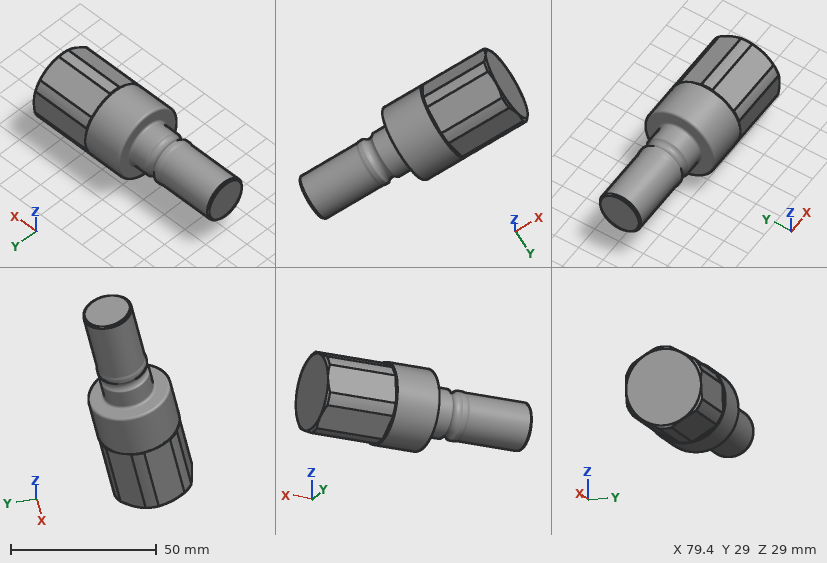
import cadquery as cq
import math

length = 79.4
body_start = 37.4
body_end = 53.8

plug_radius = 17.0 / 2
collar_radius = 17.5 / 2
plug_tip_chamfer = 0.55
cone_start = 23.5
cone_end = 24.45
groove_center = 28.0
groove_half_width = 2.0
groove_floor_radius = 7.7
groove_lip_fillet = 0.4
root_fillet = 0.95

body_radius = 29.0 / 2
body_front_fillet = 0.95
body_back_chamfer = 0.3

grip_sides = 6
grip_across_flats = 27.0
grip_corner_radius = 14.45
grip_tilt = 1.4
grip_end_radius = 26.8 / 2
grip_end_chamfer_length = 0.7


def make_plug():
    """Turned plug with a stepped collar and a round-bottomed groove."""
    profile = (
        cq.Workplane("XY")
        .lineTo(0, plug_radius - plug_tip_chamfer)
        .lineTo(plug_tip_chamfer, plug_radius)
        .lineTo(cone_start, plug_radius)
        .lineTo(cone_end, collar_radius)
        .lineTo(groove_center - groove_half_width, collar_radius)
        .threePointArc(
            (groove_center, groove_floor_radius),
            (groove_center + groove_half_width, collar_radius),
        )
        .lineTo(body_start, collar_radius)
        .lineTo(body_start, 0)
        .close()
    )
    plug = profile.revolve(360, (0, 0, 0), (1, 0, 0))
    groove_lips = plug.edges(
        cq.selectors.BoxSelector(
            (groove_center - groove_half_width - groove_lip_fillet, -body_radius, -body_radius),
            (groove_center + groove_half_width + groove_lip_fillet, body_radius, body_radius),
        )
    ).edges("%CIRCLE")
    return groove_lips.fillet(groove_lip_fillet)


def make_body():
    """Round body with a flared root where the plug enters it."""
    body = cq.Workplane("YZ", origin=(body_start, 0, 0)).circle(body_radius).extrude(body_end - body_start)
    body = body.faces("<X").edges().fillet(body_front_fillet)
    return body.faces(">X").edges().chamfer(body_back_chamfer)


def make_root_flare():
    """Concave fillet ring between the plug and the body face."""
    arc_offset = root_fillet * (1 - math.sqrt(0.5))
    profile = (
        cq.Workplane("XY")
        .moveTo(body_start - root_fillet, 0)
        .lineTo(body_start - root_fillet, collar_radius)
        .threePointArc(
            (body_start - arc_offset, collar_radius + arc_offset),
            (body_start, collar_radius + root_fillet),
        )
        .lineTo(body_start, 0)
        .close()
    )
    return profile.revolve(360, (0, 0, 0), (1, 0, 0))


def make_grip():
    """Hexagon trimmed by a cylinder whose outer end is conical."""
    hexagon = (
        cq.Workplane("YZ", origin=(body_end, 0, 0))
        .polygon(grip_sides, grip_across_flats, circumscribed=True)
        .extrude(length - body_end)
        .rotate((0, 0, 0), (1, 0, 0), grip_tilt)
    )
    envelope = (
        cq.Workplane("XY")
        .moveTo(body_end, 0)
        .lineTo(body_end, grip_corner_radius)
        .lineTo(length - grip_end_chamfer_length, grip_corner_radius)
        .lineTo(length, grip_end_radius)
        .lineTo(length, 0)
        .close()
        .revolve(360, (0, 0, 0), (1, 0, 0))
    )
    return hexagon.intersect(envelope)


result = make_plug().union(make_root_flare()).union(make_body()).union(make_grip())